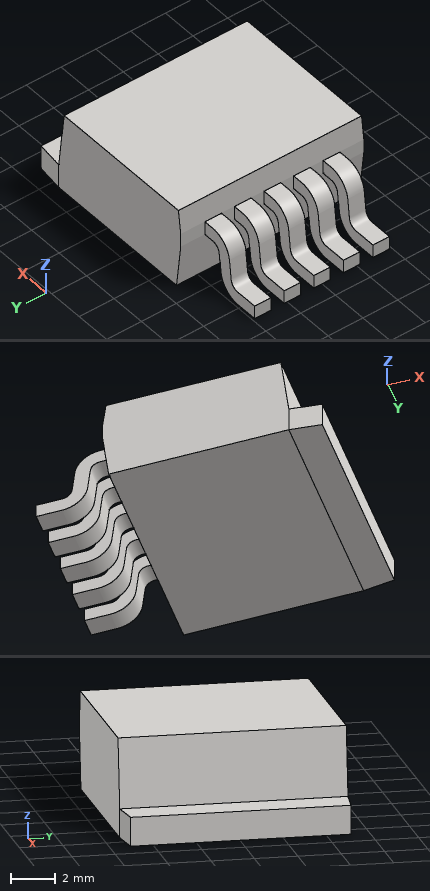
import cadquery as cq
import math

total_length = 14.05
total_height = 4.64
body_width = 10.54

lead_count = 5
lead_pitch = 1.7
lead_width = 0.95
lead_thickness = 0.76
lead_top = 3.33
foot_length = 1.25
upper_bend_start = 3.05
inner_bend_radius = 0.46
outer_bend_radius = inner_bend_radius + lead_thickness

standoff = 0.05
front_face = 3.62
top_front = 3.8
bottom_front = 3.93
top_back = 12.14
back_face = 12.52

tab_top = 1.42
tab_end_inset = 0.18


def make_housing():
    """Housing with an upright lead band and sloped faces above and below it."""
    outline = [
        (bottom_front, standoff),
        (front_face, lead_top - lead_thickness),
        (front_face, lead_top),
        (top_front, total_height),
        (top_back, total_height),
        (back_face, tab_top),
        (back_face, standoff),
    ]
    return cq.Workplane("XZ").polyline(outline).close().extrude(body_width / 2, both=True)


def make_tab():
    """Flat tab behind the housing, tapering toward its free end."""
    root_half = body_width / 2
    end_half = root_half - tab_end_inset
    outline = [
        (back_face, -root_half),
        (total_length, -end_half),
        (total_length, end_half),
        (back_face, root_half),
    ]
    return cq.Workplane("XY", origin=(0, 0, standoff)).polyline(outline).close().extrude(tab_top - standoff)


def make_lead(y_center):
    """Gull-wing lead: foot, lower bend, steep leg, upper bend, shoulder."""
    lower_center = (foot_length, outer_bend_radius)
    upper_center = (upper_bend_start, lead_top - outer_bend_radius)

    run = upper_center[0] - lower_center[0]
    rise = upper_center[1] - lower_center[1]
    mid_radius = (inner_bend_radius + outer_bend_radius) / 2
    leg_angle = math.atan2(rise, run) + math.asin(2 * mid_radius / math.hypot(run, rise))

    def lower_point(radius, angle):
        return (lower_center[0] + radius * math.sin(angle), lower_center[1] - radius * math.cos(angle))

    def upper_point(radius, angle):
        return (upper_center[0] - radius * math.sin(angle), upper_center[1] + radius * math.cos(angle))

    half_angle = leg_angle / 2
    profile = (
        cq.Workplane("XZ", origin=(0, y_center, 0))
        .moveTo(0, 0)
        .lineTo(foot_length, 0)
        .threePointArc(lower_point(outer_bend_radius, half_angle), lower_point(outer_bend_radius, leg_angle))
        .lineTo(*upper_point(inner_bend_radius, leg_angle))
        .threePointArc(upper_point(inner_bend_radius, half_angle), upper_point(inner_bend_radius, 0))
        .lineTo(front_face, lead_top - lead_thickness)
        .lineTo(front_face, lead_top)
        .lineTo(upper_bend_start, lead_top)
        .threePointArc(upper_point(outer_bend_radius, half_angle), upper_point(outer_bend_radius, leg_angle))
        .lineTo(*lower_point(inner_bend_radius, leg_angle))
        .threePointArc(lower_point(inner_bend_radius, half_angle), lower_point(inner_bend_radius, 0))
        .lineTo(0, lead_thickness)
        .close()
    )
    return profile.extrude(lead_width / 2, both=True)


housing = make_housing()
tab = make_tab()
leads = [make_lead((i - (lead_count - 1) / 2) * lead_pitch) for i in range(lead_count)]

result = cq.Compound.makeCompound([housing.val(), tab.val(), *[lead.val() for lead in leads]])